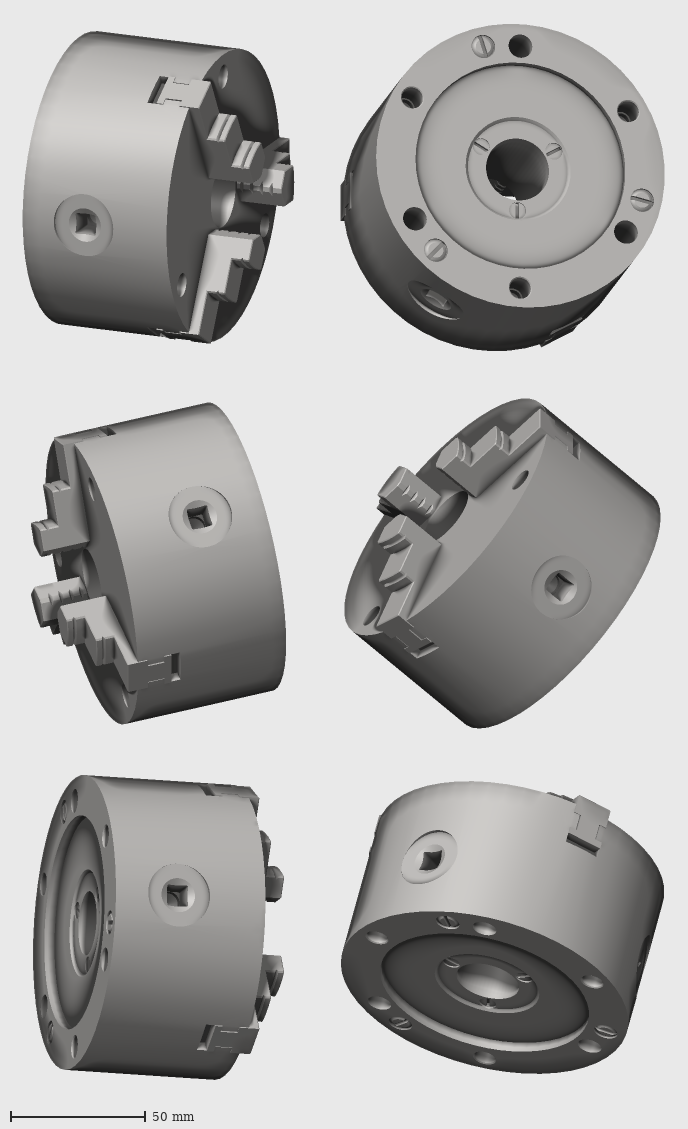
import cadquery as cq
import math


PLACES = 3
OVERCUT = 1.1

BODY_D = 110.0
BODY_R = BODY_D / 2
BODY_LENGTH = 58.0
BORE_D = 24.0
REGISTER_D = 80.0
REGISTER_DEPTH = 4.0
PLATE_RECESS_D = 40.0
PLATE_RECESS_DEPTH = 1.1
PLATE_RECESS_TAPER = 1.1
DRILL_HALF_ANGLE = math.radians(60)

CLEARANCE_HOLE_D = 9.0
CLEARANCE_HOLE_RADIUS = 46.4
CLEARANCE_HOLE_ANGLE = 90
MOUNT_RADIUS = 47.5
TAPPED_HOLE_ANGLE = 30
THREAD_D = 8.0
THREAD_MOUTH_D = 8.8
THREAD_DEPTH = 14.3
TAP_DRILL_D = 6.8
TAP_DRILL_DEPTH = 17.6
FLANGE_SCREW_ANGLE = 72.7
FLANGE_SEAT_D = 9.0
FLANGE_HEAD_D = 8.4
FLANGE_HEAD_TOP_D = 5.7
FLANGE_HEAD_HEIGHT = 0.9
FLANGE_SLOT_WIDTH = 1.5
PLATE_SCREW_ANGLE = 30
PLATE_SCREW_RADIUS = 16.0
PLATE_SCREW_D = 6.5
PLATE_SCREW_RECESS = 0.5
PLATE_SLOT_WIDTH = 1.2
PLATE_SLOT_LENGTH = 6.0
SCREW_SLOT_DEPTH = 1.3

PINION_X = 24.5
PINION_ANGLE = 60
PINION_FACE_D = 24.0
PINION_FACE_R = 53.7
SOCKET_MOUTH_D = 13.0
SOCKET_SIDE = 8.0
SOCKET_CORNER_R = 0.5
SOCKET_DEPTH = 12.0
SOCKET_DRILL_D = 7.9
SOCKET_DRILL_DEPTH = 14.3

JAW_WIDTH = 13.9
JAW_HALF = JAW_WIDTH / 2
JAW_OUTER_R = BODY_R
JAW_HEIGHT = 18.0
JAW_SHELF = 4.1
JAW_STEP = (JAW_HEIGHT - JAW_SHELF) / 2
STEP_R = {1: 39.0, 2: 25.8}
STEP_CORNER = 0.5
JAW_EDGE_CHAMFER = 0.3
NOSE_R = 13.2
NOSE_WIDTH = 1.9
NOSE_SLOPE = math.radians(30)
JAW_FOOT_DEPTH = 13.0
GROOVE_OFFSET = 4.2
GROOVE_BACK_WIDTH = 0.8
GROOVE_FRONT_WIDTH = 0.5
GROOVE_DEPTH = 1.1
TOOTH_COUNT = 4
TOOTH_PITCH = 4.0
TOOTH_WIDTH = 1.4
TOOTH_DEPTH = 1.0

WAY_INNER_R = 50.6
WAY_DEPTH = 16.7
NECK_WIDTH = 8.0
NECK_GAP = 0.4
NECK_TOP = 3.7
NECK_BOTTOM = 10.3


def spread_around(shape, first_angle=0):
    """Yield the shape turned about the chuck axis to its evenly spaced places."""
    for turn in range(PLACES):
        yield shape.rotate((0, 0, 0), (1, 0, 0), first_angle + turn * 360 / PLACES)


def disc(radius, x_start, length, center_y=0):
    return cq.Workplane("YZ", origin=(x_start, center_y, 0)).circle(radius).extrude(length)


def cone(r_start, r_end, height, start, direction):
    return cq.Workplane(cq.Solid.makeCone(r_start, r_end, height, cq.Vector(*start), cq.Vector(*direction)))


def drill_point(radius, start, direction):
    return cone(radius, 0, radius / math.tan(DRILL_HALF_ANGLE), start, direction)


def block(x_range, y_range, z_range):
    size = [high - low for low, high in (x_range, y_range, z_range)]
    corner = (x_range[0], y_range[0], z_range[0])
    return cq.Workplane("XY").box(*size, centered=False).translate(corner)


def body():
    floor_r = PLATE_RECESS_D / 2 - PLATE_RECESS_TAPER
    chuck = disc(BODY_R, 0, BODY_LENGTH)
    chuck = chuck.cut(disc(BORE_D / 2, 0, BODY_LENGTH))
    chuck = chuck.cut(disc(REGISTER_D / 2, 0, REGISTER_DEPTH))
    recess = cone(PLATE_RECESS_D / 2, floor_r, PLATE_RECESS_DEPTH, (REGISTER_DEPTH, 0, 0), (1, 0, 0))
    return chuck.cut(recess)


def tapped_hole():
    """Blind tapped hole with a chamfered mouth over a narrower drilled hole with a conical bottom."""
    thread_r = THREAD_D / 2
    mouth_r = THREAD_MOUTH_D / 2
    drill_r = TAP_DRILL_D / 2
    thread = disc(thread_r, 0, THREAD_DEPTH, MOUNT_RADIUS)
    mouth = cone(mouth_r, thread_r, mouth_r - thread_r, (0, MOUNT_RADIUS, 0), (1, 0, 0))
    drill = disc(drill_r, 0, TAP_DRILL_DEPTH, MOUNT_RADIUS)
    tip = drill_point(drill_r, (TAP_DRILL_DEPTH, MOUNT_RADIUS, 0), (1, 0, 0))
    return thread.union(mouth).union(drill).union(tip)


def screw_slot(x_start, center_y, length, width):
    return block(
        (x_start, x_start + SCREW_SLOT_DEPTH),
        (center_y - length / 2, center_y + length / 2),
        (-width / 2, width / 2),
    )


def flange_screw():
    """Ring-shaped space around a tapered screw head, together with its driver slot."""
    seat = disc(FLANGE_SEAT_D / 2, 0, FLANGE_HEAD_HEIGHT, MOUNT_RADIUS)
    start = (0, MOUNT_RADIUS, 0)
    head = cone(FLANGE_HEAD_TOP_D / 2, FLANGE_HEAD_D / 2, FLANGE_HEAD_HEIGHT, start, (1, 0, 0))
    slot = screw_slot(0, MOUNT_RADIUS, FLANGE_SEAT_D, FLANGE_SLOT_WIDTH)
    return seat.cut(head).union(slot.intersect(disc(FLANGE_SEAT_D / 2, 0, SCREW_SLOT_DEPTH, MOUNT_RADIUS)))


def plate_screw():
    """Shallow seat of a flat screw head, with its driver slot."""
    floor_x = REGISTER_DEPTH + PLATE_RECESS_DEPTH
    head_x = floor_x + PLATE_SCREW_RECESS
    seat = disc(PLATE_SCREW_D / 2, REGISTER_DEPTH, head_x - REGISTER_DEPTH, PLATE_SCREW_RADIUS)
    slot = screw_slot(head_x, PLATE_SCREW_RADIUS, PLATE_SLOT_LENGTH, PLATE_SLOT_WIDTH)
    return seat.union(slot)


def pinion_socket():
    """Flat spot face on the rim with a countersunk square socket, on the +Y side."""
    outward = cq.Plane(origin=(PINION_X, PINION_FACE_R, 0), xDir=(1, 0, 0), normal=(0, 1, 0))
    face = cq.Workplane(outward).circle(PINION_FACE_D / 2).extrude(BODY_R - PINION_FACE_R)
    socket = cq.Workplane(outward).rect(SOCKET_SIDE, SOCKET_SIDE).extrude(-SOCKET_DEPTH)
    socket = socket.edges("|Y").fillet(SOCKET_CORNER_R)
    drill = cq.Workplane(outward).circle(SOCKET_DRILL_D / 2).extrude(-SOCKET_DRILL_DEPTH)
    inward = (0, -1, 0)
    mouth = drill_point(SOCKET_MOUTH_D / 2, (PINION_X, PINION_FACE_R, 0), inward)
    tip = drill_point(SOCKET_DRILL_D / 2, (PINION_X, PINION_FACE_R - SOCKET_DRILL_DEPTH, 0), inward)
    return face.union(socket).union(mouth).union(drill).union(tip)


def nose_start(jaw):
    """Begin a jaw outline with its blunt nose, ending at the +Z side."""
    side_r = NOSE_R + (JAW_HALF - NOSE_WIDTH / 2) * math.tan(NOSE_SLOPE)
    return (
        jaw.moveTo(side_r, -JAW_HALF)
        .lineTo(NOSE_R, -NOSE_WIDTH / 2)
        .lineTo(NOSE_R, NOSE_WIDTH / 2)
        .lineTo(side_r, JAW_HALF)
    )


def jaw_step(number):
    """Jaw tier whose outer side is an arc about the chuck axis with bevelled corners."""
    radius = STEP_R[number]
    arc_half = JAW_HALF - STEP_CORNER
    arc_end = math.sqrt(radius**2 - arc_half**2)
    top_x = BODY_LENGTH + JAW_SHELF + number * JAW_STEP
    foot_x = BODY_LENGTH - JAW_FOOT_DEPTH
    outline = (
        nose_start(cq.Workplane("YZ", origin=(foot_x, 0, 0)))
        .lineTo(arc_end - STEP_CORNER, JAW_HALF)
        .lineTo(arc_end, arc_half)
        .threePointArc((radius, 0), (arc_end, -arc_half))
        .lineTo(arc_end - STEP_CORNER, -JAW_HALF)
        .close()
    )
    tier = outline.extrude(top_x - foot_x).faces(">X").chamfer(JAW_EDGE_CHAMFER)
    return tier.cut(step_groove(radius, top_x - JAW_STEP + GROOVE_OFFSET))


def step_groove(radius, x):
    """Skewed V-groove that follows the arc of a jaw step, its walls carried on outside the step."""
    carry_on = 2.5
    outer_r = radius + GROOVE_DEPTH * (carry_on - 1)
    profile = [
        (x - GROOVE_BACK_WIDTH * carry_on, outer_r),
        (x, radius - GROOVE_DEPTH),
        (x + GROOVE_FRONT_WIDTH * carry_on, outer_r),
    ]
    ring = cq.Workplane("XY").polyline(profile).close().revolve(360, (0, 0, 0), (1, 0, 0))
    return ring.intersect(block((0, 2 * BODY_LENGTH), (0, BODY_R), (-JAW_HALF, JAW_HALF)))


def nose_teeth():
    """V-notches across the blunt nose of a jaw."""
    teeth = cq.Workplane("XY")
    for index in range(TOOTH_COUNT):
        x = BODY_LENGTH + TOOTH_PITCH * (index + 0.5)
        notch = [(x - TOOTH_WIDTH / 2, NOSE_R), (x, NOSE_R + TOOTH_DEPTH), (x + TOOTH_WIDTH / 2, NOSE_R)]
        teeth = teeth.union(cq.Workplane("XY").polyline(notch).close().extrude(JAW_HALF, both=True))
    return teeth


def neck_flanks():
    """Spaces on both sides of the jaw neck, near its outer end."""
    neck_x = (BODY_LENGTH - NECK_BOTTOM, BODY_LENGTH - NECK_TOP)
    y_range = (WAY_INNER_R, BODY_R + OVERCUT)
    flank = block(neck_x, y_range, (NECK_WIDTH / 2, JAW_HALF))
    return flank.union(flank.mirror("XY"))


def jaw():
    foot_x = BODY_LENGTH - JAW_FOOT_DEPTH
    outline = nose_start(cq.Workplane("YZ", origin=(foot_x, 0, 0)))
    base = outline.lineTo(JAW_OUTER_R, JAW_HALF).lineTo(JAW_OUTER_R, -JAW_HALF).close()
    base = base.extrude(JAW_FOOT_DEPTH + JAW_SHELF).faces(">X").chamfer(JAW_EDGE_CHAMFER)
    stepped = base.union(jaw_step(1)).union(jaw_step(2))
    return stepped.cut(nose_teeth()).cut(neck_flanks())


def jaw_way():
    """Opening in the rim: clearance below the foot and a gap beside the neck."""
    neck_half = NECK_WIDTH / 2 + NECK_GAP
    foot_x = BODY_LENGTH - JAW_FOOT_DEPTH
    y_range = (WAY_INNER_R, BODY_R + OVERCUT)
    foot_clearance = block((BODY_LENGTH - WAY_DEPTH, foot_x), y_range, (-JAW_HALF, JAW_HALF))
    neck = block((foot_x, BODY_LENGTH), y_range, (-neck_half, neck_half))
    return foot_clearance.union(neck)


chuck = body()
clearance_hole = disc(CLEARANCE_HOLE_D / 2, 0, BODY_LENGTH, CLEARANCE_HOLE_RADIUS)
cutters = (
    (clearance_hole, CLEARANCE_HOLE_ANGLE),
    (tapped_hole(), TAPPED_HOLE_ANGLE),
    (flange_screw(), FLANGE_SCREW_ANGLE),
    (plate_screw(), PLATE_SCREW_ANGLE),
    (pinion_socket(), PINION_ANGLE),
    (jaw_way(), 0),
)
for cutter, first_angle in cutters:
    for placed in spread_around(cutter, first_angle):
        chuck = chuck.cut(placed)
for placed in spread_around(jaw()):
    chuck = chuck.union(placed)

result = chuck